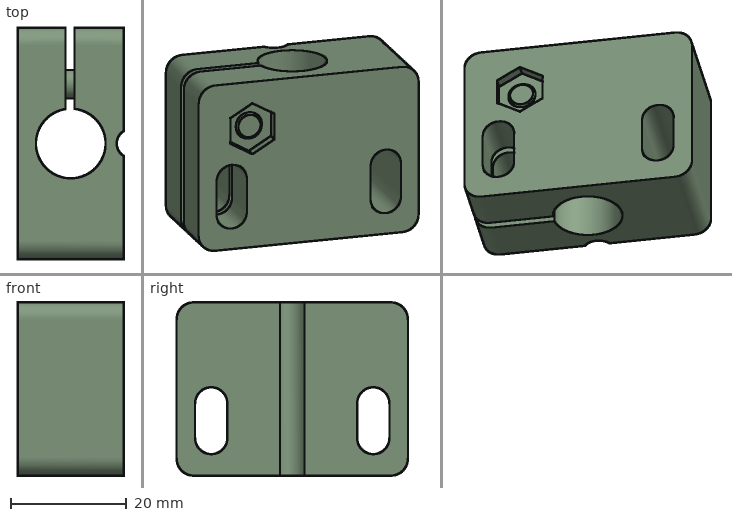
import cadquery as cq
import math

width = 18.3
length = 40.0
height = 30.0
corner_radius = 3.0

bore_diameter = 12.0
slit_width = 1.5
slit_x = -0.1
groove_diameter = 5.0
groove_depth = 1.2

slot_diameter = 5.5
slot_travel = 6.0
slot_spacing = 28.0
slot_center_z = -5.5

screw_y = 10.25
screw_z = 6.5
screw_diameter = 5.0
screw_tip_chamfer = 0.5
screw_tip_height = 0.35
nut_across_flats = 8.0
nut_recess = 2.0


def make_block():
    block = cq.Workplane("XY").box(width, length, height)
    return block.edges("|X").fillet(corner_radius)


def make_bore_and_slit():
    bore = cq.Workplane("XY").circle(bore_diameter / 2).extrude(height / 2, both=True)
    slit = cq.Workplane("XY").box(slit_width, length / 2, height).translate((slit_x, length / 4, 0))
    return bore.union(slit)


def make_groove():
    groove_x = width / 2 - groove_depth + groove_diameter / 2
    groove = cq.Workplane("XY").center(groove_x, 0).circle(groove_diameter / 2)
    return groove.extrude(height / 2, both=True)


def make_mounting_slots():
    centers = [(side * slot_spacing / 2, slot_center_z) for side in (-1, 1)]
    slots = cq.Workplane("YZ").pushPoints(centers)
    slots = slots.slot2D(slot_travel + slot_diameter, slot_diameter, 90)
    return slots.extrude(width / 2, both=True)


def make_nut_pocket():
    across_corners = nut_across_flats / math.cos(math.pi / 6)
    pocket = cq.Workplane("YZ", origin=(-width / 2, screw_y, screw_z))
    pocket = pocket.transformed(rotate=(0, 0, 90)).polygon(6, across_corners)
    return pocket.extrude(nut_recess)


def make_screw():
    tip_x = -width / 2 + nut_recess - screw_tip_height
    screw_end_x = width / 4
    screw = cq.Workplane("YZ", origin=(tip_x, screw_y, screw_z)).circle(screw_diameter / 2)
    return screw.extrude(screw_end_x - tip_x).faces("<X").chamfer(screw_tip_chamfer)


body = make_block()
for cutter in (make_bore_and_slit(), make_groove(), make_mounting_slots(), make_nut_pocket()):
    body = body.cut(cutter)

result = body.union(make_screw())